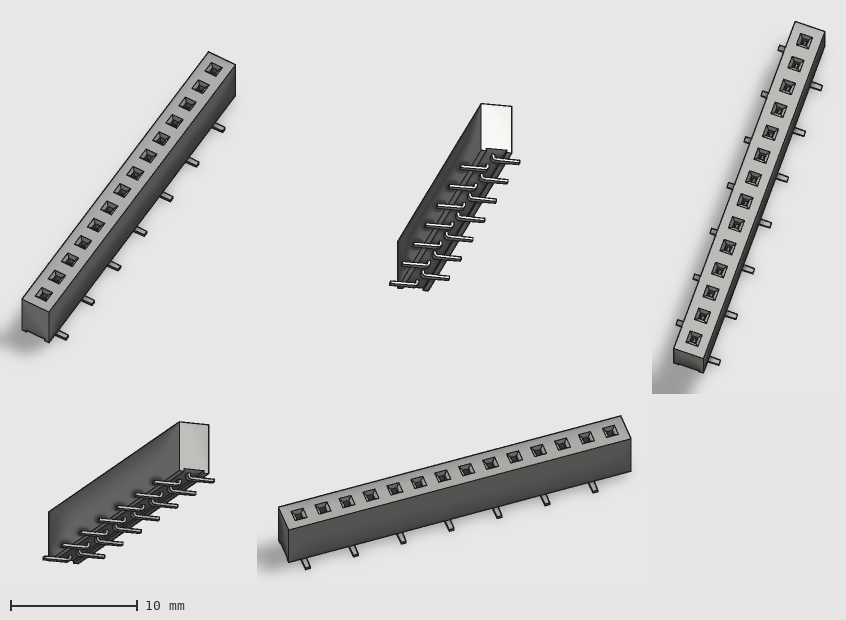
import cadquery as cq

contact_count = 14
pitch = 2.0
end_margin = 1.3

overall_height = 4.3
body_width = 2.5
body_length = (contact_count - 1) * pitch + 2 * end_margin
rail_width = 0.42
rail_height = 0.2
standoff = 0.3

lead_span = 4.3
strip_width = 0.5
taper_start = 0.25
taper_depth = 0.05
strip_thickness = 0.22
bend_inner_radius = 0.1

socket_mouth = 1.0
bore_size = 0.5
funnel_depth = 0.25
bore_depth = 2.5
contact_tip_depth = 0.8


def make_housing():
    """Rectangular bar with a channel along its underside, leaving a rail on each side."""
    height = overall_height - standoff
    bar = cq.Workplane("XY").workplane(offset=standoff).rect(body_width, body_length).extrude(height)
    channel_width = body_width - 2 * rail_width
    channel = (
        cq.Workplane("XY")
        .workplane(offset=standoff)
        .rect(channel_width, body_length)
        .extrude(rail_height)
    )
    return bar.cut(channel)


def make_socket(y):
    """Square funnel leading into a blind square bore."""
    top = cq.Workplane("XY", origin=(0, y, overall_height))
    funnel = (
        top.rect(socket_mouth, socket_mouth)
        .workplane(offset=-funnel_depth)
        .rect(bore_size, bore_size)
        .loft(combine=True)
    )
    bore = top.rect(bore_size, bore_size).extrude(-bore_depth)
    return funnel.union(bore)


def make_lead_taper(y, side, edge_side):
    """Wedge removed from one long edge of a lead, narrowing it from the bend to its free end."""
    lead_end = side * lead_span / 2
    lead_edge = y + edge_side * strip_width / 2
    return (
        cq.Workplane("XY")
        .moveTo(side * taper_start, lead_edge)
        .lineTo(lead_end, lead_edge)
        .lineTo(lead_end, lead_edge - edge_side * taper_depth)
        .close()
        .extrude(strip_thickness)
    )


def make_contact(y, side):
    """L-shaped strip: an upright blade bent into a flat lead towards side (-1 or +1) in X."""
    half_thickness = strip_thickness / 2
    inner = side * half_thickness
    outer = -inner
    lead_end = side * lead_span / 2
    tip = overall_height - contact_tip_depth
    strip = (
        cq.Workplane("XZ", origin=(0, y + strip_width / 2, 0))
        .moveTo(outer, tip)
        .lineTo(inner, tip)
        .lineTo(inner, strip_thickness)
        .lineTo(lead_end, strip_thickness)
        .lineTo(lead_end, 0)
        .lineTo(outer, 0)
        .close()
        .extrude(strip_width)
    )
    outside_edge = cq.selectors.NearestToPointSelector((outer, y, 0))
    inside_edge = cq.selectors.NearestToPointSelector((inner, y, strip_thickness))
    strip = strip.edges("|Y").edges(outside_edge).fillet(bend_inner_radius + strip_thickness)
    strip = strip.edges("|Y").edges(inside_edge).fillet(bend_inner_radius)
    for edge_side in (-1, 1):
        strip = strip.cut(make_lead_taper(y, side, edge_side))
    return strip


result = make_housing()
first_y = (contact_count - 1) * pitch / 2
for index in range(contact_count):
    contact_y = first_y - index * pitch
    lead_side = -1 if index % 2 == 0 else 1
    result = result.cut(make_socket(contact_y))
    result = result.union(make_contact(contact_y, lead_side))